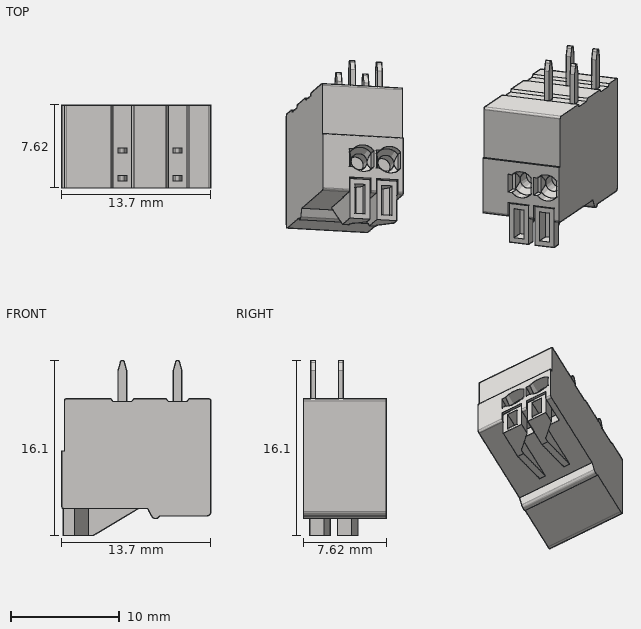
import cadquery as cq
import math

LENGTH = 13.7
WIDTH = 7.62
HEIGHT = 16.1

HOUSING_TOP = 12.59
LEDGE_Z = 7.8
LEDGE_DEPTH = 0.24
LEVER_SIDE_BOTTOM = 2.48
BACK_BOTTOM = 1.8
EDGE_RADIUS = 0.21
BACK_BOTTOM_RADIUS = 0.4

BUMP_START_X = 7.89
BUMP_TIP = (8.61, 1.56)
BUMP_RADIUS = 0.39
BUMP_FLANK_ANGLE = 60.0

POLE_COUNT = 2
POLE_PITCH = 2.55

PIN_X = 5.57
PIN_Y = 0.9
PIN_ROW_PITCH = 5.07
PIN_ROWS = 2
PIN_WIDTH = 0.8
PIN_THICKNESS = 0.47
PIN_TIP_WIDTH = 0.4
PIN_TAPER_Z = 15.18
PIN_ROUND_Z = 15.89
PIN_ROOT_Z = 11.27
GROOVE_DEPTH = 0.24
GROOVE_FLOOR_WIDTH = 1.7
GROOVE_TOP_WIDTH = 2.13

ENTRY_Y = 1.25
ENTRY_Z = 5.68
ENTRY_MOUTH_RADIUS = 2.5 / 2
ENTRY_BORE_RADIUS = 1.5 / 2
ENTRY_MOUTH_DEPTH = 1.05
ENTRY_FUNNEL_DEPTH = 0.5
ENTRY_BORE_DEPTH = 3.0
ENTRY_HALF_WIDTH = 1.0
KEY_REACH = 1.3
KEY_HEIGHT = 1.69
KEY_TOP_DROP = 0.11

LEVER_Y = 1.53
LEVER_WIDTH = 1.92
LEVER_FRONT_X = 0.13
LEVER_TOP = 3.72
LEVER_GAP = 0.056
LEVER_TOP_GAP = 0.11
LEVER_POCKET_DEPTH = 2.58
LEVER_HEAD_END_X = 1.19
LEVER_RIB_START_X = 2.48
RIB_THICKNESS = 0.61
RIB_FOOT_END_X = 2.88
RIB_TOE_X = 7.04
WINDOW_WIDTH = 0.98
WINDOW_BOTTOM = 0.48
WINDOW_TOP = 3.25
WINDOW_SLANT_X = 1.01
WINDOW_FLOOR_X = 1.55


def make_housing():
    """Side outline of the housing, extruded across its full width."""
    flank_angle = math.radians(BUMP_FLANK_ANGLE)
    tip_x, tip_z = BUMP_TIP
    center_z = tip_z + BUMP_RADIUS
    flank_end = (
        tip_x - BUMP_RADIUS * math.sin(flank_angle),
        center_z - BUMP_RADIUS * math.cos(flank_angle),
    )
    round_end_x = tip_x + math.sqrt(BUMP_RADIUS**2 - (center_z - BACK_BOTTOM) ** 2)
    outline = (
        cq.Workplane("XZ")
        .moveTo(0, LEVER_SIDE_BOTTOM)
        .lineTo(BUMP_START_X, LEVER_SIDE_BOTTOM)
        .lineTo(*flank_end)
        .threePointArc(BUMP_TIP, (round_end_x, BACK_BOTTOM))
        .lineTo(LENGTH, BACK_BOTTOM)
        .lineTo(LENGTH, HOUSING_TOP)
        .lineTo(LEDGE_DEPTH, HOUSING_TOP)
        .lineTo(LEDGE_DEPTH, LEDGE_Z)
        .lineTo(0, LEDGE_Z)
        .close()
    )
    housing = outline.extrude(-WIDTH)
    housing = housing.edges("|Y and >Z").fillet(EDGE_RADIUS)
    bottom_left = cq.selectors.NearestToPointSelector((0, WIDTH / 2, LEVER_SIDE_BOTTOM))
    housing = housing.edges(bottom_left).fillet(EDGE_RADIUS)
    bottom_right = cq.selectors.NearestToPointSelector((LENGTH, WIDTH / 2, BACK_BOTTOM))
    return housing.edges(bottom_right).fillet(BACK_BOTTOM_RADIUS)


def make_groove(x):
    """Shallow groove with sloping sides across the top of the housing."""
    floor_z = HOUSING_TOP - GROOVE_DEPTH
    return (
        cq.Workplane("XZ")
        .moveTo(x - GROOVE_TOP_WIDTH / 2, HOUSING_TOP)
        .lineTo(x - GROOVE_FLOOR_WIDTH / 2, floor_z)
        .lineTo(x + GROOVE_FLOOR_WIDTH / 2, floor_z)
        .lineTo(x + GROOVE_TOP_WIDTH / 2, HOUSING_TOP)
        .close()
        .extrude(-WIDTH)
    )


def make_pin(x, y):
    """Flat solder pin with a tapered, rounded tip."""
    half_width = PIN_WIDTH / 2
    half_tip = PIN_TIP_WIDTH / 2
    return (
        cq.Workplane("XZ", origin=(x, y - PIN_THICKNESS / 2, 0))
        .moveTo(-half_width, PIN_ROOT_Z)
        .lineTo(half_width, PIN_ROOT_Z)
        .lineTo(half_width, PIN_TAPER_Z)
        .lineTo(half_tip, PIN_ROUND_Z)
        .threePointArc((0, HEIGHT), (-half_tip, PIN_ROUND_Z))
        .lineTo(-half_width, PIN_TAPER_Z)
        .close()
        .extrude(-PIN_THICKNESS)
    )


def make_wire_entry(y):
    """Round mouth with flat sides, a funnel down to the bore, and a key slot beside the mouth."""
    axis = cq.Vector(1, 0, 0)
    face_center = cq.Vector(0, y, ENTRY_Z)
    funnel_start = cq.Vector(ENTRY_MOUTH_DEPTH, y, ENTRY_Z)
    funnel_end_x = ENTRY_MOUTH_DEPTH + ENTRY_FUNNEL_DEPTH
    mouth = cq.Workplane(
        cq.Solid.makeCylinder(ENTRY_MOUTH_RADIUS, ENTRY_MOUTH_DEPTH, face_center, axis)
    )
    funnel = cq.Workplane(
        cq.Solid.makeCone(ENTRY_MOUTH_RADIUS, ENTRY_BORE_RADIUS, ENTRY_FUNNEL_DEPTH, funnel_start, axis)
    )
    flats = (
        cq.Workplane("XY", origin=(0, y, ENTRY_Z - ENTRY_MOUTH_RADIUS))
        .moveTo(0, -ENTRY_HALF_WIDTH)
        .lineTo(ENTRY_MOUTH_DEPTH, -ENTRY_HALF_WIDTH)
        .lineTo(funnel_end_x, -ENTRY_BORE_RADIUS)
        .lineTo(funnel_end_x, ENTRY_BORE_RADIUS)
        .lineTo(ENTRY_MOUTH_DEPTH, ENTRY_HALF_WIDTH)
        .lineTo(0, ENTRY_HALF_WIDTH)
        .close()
        .extrude(2 * ENTRY_MOUTH_RADIUS)
    )
    bore = cq.Workplane(cq.Solid.makeCylinder(ENTRY_BORE_RADIUS, ENTRY_BORE_DEPTH, face_center, axis))
    key_bottom = ENTRY_Z - KEY_HEIGHT / 2
    key_top = ENTRY_Z + KEY_HEIGHT / 2
    key_slot = (
        cq.Workplane("XZ", origin=(0, y, 0))
        .moveTo(0, key_bottom)
        .lineTo(ENTRY_MOUTH_DEPTH, key_bottom)
        .lineTo(ENTRY_MOUTH_DEPTH, key_top - KEY_TOP_DROP)
        .lineTo(0, key_top)
        .close()
        .extrude(-KEY_REACH)
    )
    return mouth.union(funnel).intersect(flats).union(bore).union(key_slot)


def make_lever_pocket(y):
    """Recess in the wire face, open below, that leaves a gap around the lever."""
    return cq.Workplane("XY", origin=(0, y, 0)).box(
        LEVER_POCKET_DEPTH,
        LEVER_WIDTH + 2 * LEVER_GAP,
        LEVER_TOP + LEVER_TOP_GAP,
        centered=(False, True, False),
    )


def make_lever(y):
    """Lever: windowed head, slanted neck and a thin rib that runs out under the housing."""
    near_side = -LEVER_WIDTH / 2
    far_side = LEVER_WIDTH / 2
    rib_side = far_side - RIB_THICKNESS
    head = (
        cq.Workplane("XY", origin=(0, y, 0))
        .moveTo(LEVER_FRONT_X, near_side)
        .lineTo(LEVER_HEAD_END_X, near_side)
        .lineTo(LEVER_RIB_START_X, rib_side)
        .lineTo(LEVER_RIB_START_X, far_side)
        .lineTo(LEVER_FRONT_X, far_side)
        .close()
        .extrude(LEVER_TOP)
    )
    ramp_end_x = LEVER_FRONT_X + LEVER_TOP_GAP
    rib = (
        cq.Workplane("XZ", origin=(0, y + rib_side, 0))
        .moveTo(LEVER_FRONT_X, 0)
        .lineTo(RIB_FOOT_END_X, 0)
        .lineTo(RIB_TOE_X, LEVER_SIDE_BOTTOM)
        .lineTo(RIB_TOE_X, LEVER_TOP + LEVER_TOP_GAP)
        .lineTo(ramp_end_x, LEVER_TOP + LEVER_TOP_GAP)
        .lineTo(LEVER_FRONT_X, LEVER_TOP)
        .close()
        .extrude(-RIB_THICKNESS)
    )
    window = (
        cq.Workplane("XY", origin=(0, y, WINDOW_BOTTOM))
        .moveTo(0, -WINDOW_WIDTH / 2)
        .lineTo(WINDOW_SLANT_X, -WINDOW_WIDTH / 2)
        .lineTo(WINDOW_FLOOR_X, 0)
        .lineTo(WINDOW_FLOOR_X, WINDOW_WIDTH / 2)
        .lineTo(0, WINDOW_WIDTH / 2)
        .close()
        .extrude(WINDOW_TOP - WINDOW_BOTTOM)
    )
    return head.union(rib).cut(window)


result = make_housing()
for row in range(PIN_ROWS):
    result = result.cut(make_groove(PIN_X + row * PIN_ROW_PITCH))

for pole in range(POLE_COUNT):
    pole_offset = pole * POLE_PITCH
    result = result.cut(make_wire_entry(ENTRY_Y + pole_offset))
    result = result.cut(make_lever_pocket(LEVER_Y + pole_offset))
    result = result.union(make_lever(LEVER_Y + pole_offset))
    for row in range(PIN_ROWS):
        pin_x = PIN_X + row * PIN_ROW_PITCH
        result = result.union(make_pin(pin_x, PIN_Y + pole_offset))